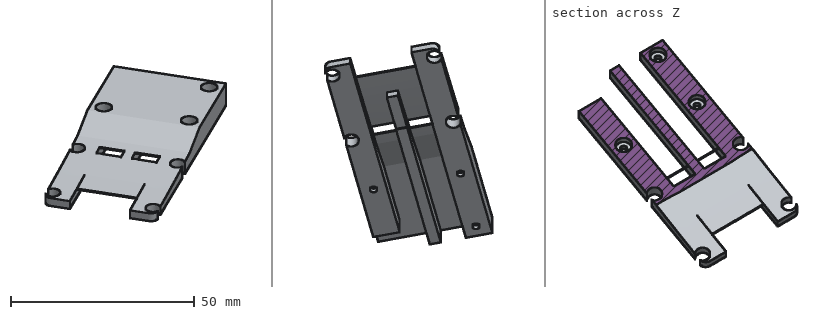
import cadquery as cq
import math

WIDTH = 32.0
LENGTH = 65.8
HEIGHT = 7.0
REAR = LENGTH / 2
FRONT = -LENGTH / 2

RAMP_TOP_Y = 7.95
DECK_REAR_Y = -1.25
DECK_REAR_Z = 4.15
DECK_MID_Y = -14.5
DECK_MID_Z = 3.2
DECK_FRONT_Z = 2.5
CORNER_RADIUS = 2.0

CHANNEL_WIDTH = 17.1
REAR_PLATE = 1.65
DECK_SKIN = 0.4
CEILING_REAR_Z = HEIGHT - REAR_PLATE

BRIDGE_YS = (-18.95, -21.6, -24.2, -26.15)
BRIDGE_REAR_Y = BRIDGE_YS[0]
BRIDGE_FRONT_Y = BRIDGE_YS[-1]

RIB_WIDTH = 3.1
RIB_FRONT_LIFT = 0.3
SLOT_REAR_Y = -4.8
SLOT_FRONT_Y = -7.85

SIDE_HOLE_DIAMETER = 4.1
SIDE_HOLE_X = 14.3
SIDE_HOLE_YS = (-6.9, -29.95)

SCREW_DIAMETER = 2.0
COUNTERBORE_DIAMETER = 4.5
COUNTERBORE_FLOOR = 1.6
SCREW_X = 12.2
SCREW_FRONT_Y = 10.9
SCREW_REAR_Y = 29.6
SCREW_POINTS = [(-SCREW_X, SCREW_FRONT_Y), (SCREW_X, SCREW_FRONT_Y), (SCREW_X, SCREW_REAR_Y)]

RECESS_LENGTH = 6.0
RAIL_WIDTH = (WIDTH - CHANNEL_WIDTH) / 2


def box(x_min, x_max, y_min, y_max, z_min, z_max):
    size = (x_max - x_min, y_max - y_min, z_max - z_min)
    return cq.Workplane("XY").box(*size, centered=False).translate((x_min, y_min, z_min))


def deck_circle():
    """Centre and radius of the deck arc through its rear, middle and front points."""
    ay, az = DECK_REAR_Y - FRONT, DECK_REAR_Z - DECK_FRONT_Z
    by, bz = DECK_MID_Y - FRONT, DECK_MID_Z - DECK_FRONT_Z
    a_square = ay**2 + az**2
    b_square = by**2 + bz**2
    divisor = 2 * (ay * bz - az * by)
    cy = (bz * a_square - az * b_square) / divisor
    cz = (ay * b_square - by * a_square) / divisor
    return FRONT + cy, DECK_FRONT_Z + cz, math.hypot(cy, cz)


DECK_CENTER_Y, DECK_CENTER_Z, DECK_RADIUS = deck_circle()


def deck_z(y):
    return DECK_CENTER_Z - math.sqrt(DECK_RADIUS**2 - (y - DECK_CENTER_Y) ** 2)


def extrude_profile(profile, width):
    return profile.close().extrude(width / 2, both=True)


def make_body():
    profile = (
        cq.Workplane("YZ")
        .moveTo(FRONT, 0)
        .lineTo(REAR, 0)
        .lineTo(REAR, HEIGHT)
        .lineTo(RAMP_TOP_Y, HEIGHT)
        .lineTo(DECK_REAR_Y, DECK_REAR_Z)
        .threePointArc((DECK_MID_Y, DECK_MID_Z), (FRONT, DECK_FRONT_Z))
    )
    body = extrude_profile(profile, WIDTH)
    return body.edges("|Z and <Y").fillet(CORNER_RADIUS)


def make_channel():
    """Space below the deck skin and rear plate, running out through the rear."""
    mid_y = (DECK_REAR_Y + BRIDGE_REAR_Y) / 2
    profile = (
        cq.Workplane("YZ")
        .moveTo(BRIDGE_REAR_Y, 0)
        .lineTo(REAR, 0)
        .lineTo(REAR, CEILING_REAR_Z)
        .lineTo(RAMP_TOP_Y, CEILING_REAR_Z)
        .lineTo(DECK_REAR_Y, DECK_REAR_Z - DECK_SKIN)
        .threePointArc(
            (mid_y, deck_z(mid_y) - DECK_SKIN),
            (BRIDGE_REAR_Y, deck_z(BRIDGE_REAR_Y) - DECK_SKIN),
        )
    )
    return extrude_profile(profile, CHANNEL_WIDTH)


def make_rib(channel):
    """Wall along the channel, with its foot raised ahead of the slots."""
    half = RIB_WIDTH / 2
    rear_wall = box(-half, half, SLOT_FRONT_Y, REAR, 0, HEIGHT)
    front_wall = box(-half, half, BRIDGE_REAR_Y, SLOT_FRONT_Y, RIB_FRONT_LIFT, HEIGHT)
    return channel.intersect(rear_wall.union(front_wall))


def make_bridge():
    top = [(y, deck_z(y)) for y in BRIDGE_YS]
    bottom = [(y, z - DECK_SKIN) for y, z in reversed(top)]
    return extrude_profile(cq.Workplane("YZ").polyline(top + bottom), CHANNEL_WIDTH)


def make_slots():
    inner = RIB_WIDTH / 2
    outer = CHANNEL_WIDTH / 2
    right = box(inner, outer, SLOT_FRONT_Y, SLOT_REAR_Y, 0, HEIGHT)
    return right.union(right.mirror("YZ"))


def make_cylinders(points, diameter, floor):
    return (
        cq.Workplane("XY", origin=(0, 0, floor))
        .pushPoints(points)
        .circle(diameter / 2)
        .extrude(HEIGHT - floor)
    )


channel = make_channel()
notch = box(-CHANNEL_WIDTH / 2, CHANNEL_WIDTH / 2, FRONT, BRIDGE_REAR_Y, 0, HEIGHT)
result = make_body().cut(channel).cut(notch)
result = result.union(make_rib(channel)).union(make_bridge())
result = result.cut(make_slots())

side_hole_points = [(side * SIDE_HOLE_X, y) for side in (-1, 1) for y in SIDE_HOLE_YS]
result = result.cut(make_cylinders(side_hole_points, SIDE_HOLE_DIAMETER, 0))
result = result.cut(make_cylinders(SCREW_POINTS, SCREW_DIAMETER, 0))
result = result.cut(make_cylinders(SCREW_POINTS, COUNTERBORE_DIAMETER, COUNTERBORE_FLOOR))

recess_right = -WIDTH / 2 + RAIL_WIDTH
recess = box(-WIDTH / 2, recess_right, REAR - RECESS_LENGTH, REAR, 0, CEILING_REAR_Z)
result = result.cut(recess)